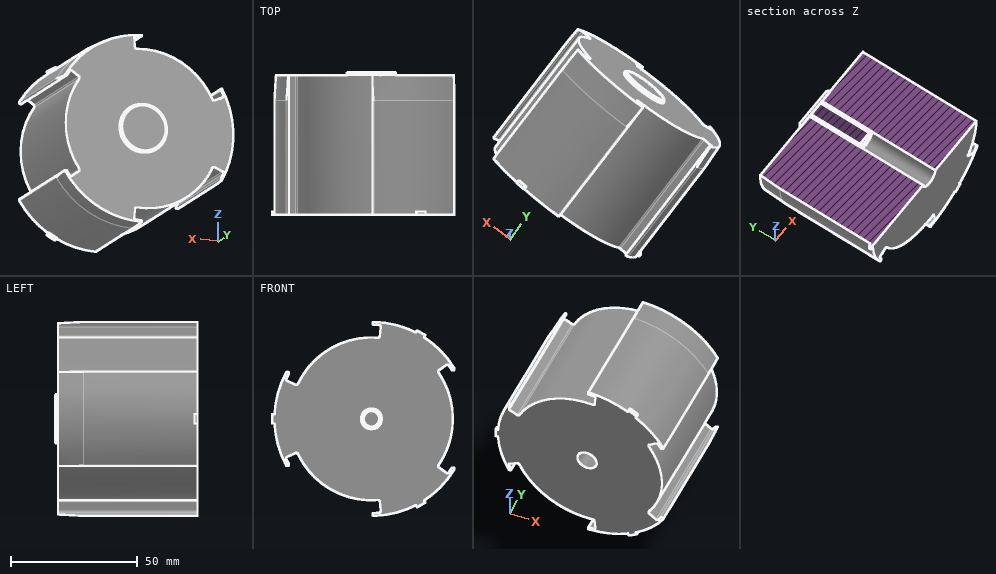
import cadquery as cq
import math

HOUSING_LENGTH = 55.0
CORE_RADIUS = 32.1
LOBE_COUNT = 3
LOBE_STEP = 360 / LOBE_COUNT
FIRST_LOBE_ANGLE = 180.0
LOBE_RADIUS = 38.25
LOBE_HALF_ANGLE = 24.3
LIP_THICKNESS = 1.2
LIP_LENGTH = 3.4
LOBE_FILLET = 0.6

TAPER_START = 45.0
TAPER_DROP = 0.5

KEY_WIDTH = 3.8
KEY_LENGTH = 1.3
KEY_RADIUS = 39.2

BORE_DIAMETER = 8.2
BORE_DEPTH = 30.6
BUSHING_MOUTH_DIAMETER = 7.35
SHAFT_DIAMETER = 6.1
MOUTH_CHAMFER = (BUSHING_MOUTH_DIAMETER - SHAFT_DIAMETER) / 2

HUB_DIAMETER = 19.5
HUB_END_DIAMETER = 18.1
HUB_HEIGHT = 1.2
HUB_CHAMFER_HEIGHT = 0.45


def front_plane(y=0.0):
    """Plane facing the front at the given y; extruding by a negative length goes to +Y."""
    return cq.Workplane("XZ").workplane(offset=-y)


def revolve_about_y(points):
    """Turn a closed outline of (radius, y) points about the Y axis."""
    return cq.Workplane("XY").polyline(points).close().revolve(360, (0, 0, 0), (0, 1, 0))


def cylinder(diameter, start, end):
    return front_plane(start).circle(diameter / 2).extrude(start - end)


def polar(radius, degrees):
    angle = math.radians(degrees)
    return (radius * math.cos(angle), radius * math.sin(angle))


def copies_on_lobes(body):
    """Copies of a body that points to +X, one turned to each lobe."""
    angles = [FIRST_LOBE_ANGLE + i * LOBE_STEP for i in range(LOBE_COUNT)]
    return [body.rotate((0, 0, 0), (0, 1, 0), -angle) for angle in angles]


def make_lobe():
    """One lobe pointing to +X: a sector whose rim overhangs both side walls."""
    inner = LOBE_RADIUS - LIP_THICKNESS
    middle = LOBE_RADIUS - LIP_THICKNESS / 2
    lip_end = LOBE_HALF_ANGLE + math.degrees((LIP_LENGTH - LIP_THICKNESS / 2) / middle)
    lip_tip = LOBE_HALF_ANGLE + math.degrees(LIP_LENGTH / middle)
    lip_middle = (LOBE_HALF_ANGLE + lip_end) / 2
    return (
        front_plane()
        .lineTo(*polar(inner, -LOBE_HALF_ANGLE))
        .threePointArc(polar(inner, -lip_middle), polar(inner, -lip_end))
        .threePointArc(polar(middle, -lip_tip), polar(LOBE_RADIUS, -lip_end))
        .threePointArc(polar(LOBE_RADIUS, 0), polar(LOBE_RADIUS, lip_end))
        .threePointArc(polar(middle, lip_tip), polar(inner, lip_end))
        .threePointArc(polar(inner, lip_middle), polar(inner, LOBE_HALF_ANGLE))
        .close()
        .extrude(-HOUSING_LENGTH)
    )


def fillet_lobe_roots(body):
    """Round the inside corners at both ends of every side wall."""
    points = [
        polar(radius, FIRST_LOBE_ANGLE + i * LOBE_STEP + side * LOBE_HALF_ANGLE)
        for i in range(LOBE_COUNT)
        for side in (-1, 1)
        for radius in (CORE_RADIUS, LOBE_RADIUS - LIP_THICKNESS)
    ]
    for x, z in points:
        corner = cq.selectors.NearestToPointSelector((x, HOUSING_LENGTH / 2, z))
        body = body.edges("|Y").edges(corner).fillet(LOBE_FILLET)
    return body


def taper_envelope():
    """Round blank that narrows toward the rear and trims the lobes."""
    return revolve_about_y([
        (0, 0),
        (LOBE_RADIUS, 0),
        (LOBE_RADIUS, TAPER_START),
        (LOBE_RADIUS - TAPER_DROP, HOUSING_LENGTH),
        (0, HOUSING_LENGTH),
    ])


def make_key():
    return front_plane().center(KEY_RADIUS / 2, 0).rect(KEY_RADIUS, KEY_WIDTH).extrude(-KEY_LENGTH)


def make_housing():
    body = cylinder(2 * CORE_RADIUS, 0, HOUSING_LENGTH)
    for lobe in copies_on_lobes(make_lobe()):
        body = body.union(lobe)
    body = fillet_lobe_roots(body).intersect(taper_envelope())
    for key in copies_on_lobes(make_key()):
        body = body.union(key)
    return body.cut(cylinder(BORE_DIAMETER, 0, HOUSING_LENGTH))


def make_bushing():
    """Sleeve in the bore, with a chamfered mouth."""
    return revolve_about_y([
        (BUSHING_MOUTH_DIAMETER / 2, BORE_DEPTH),
        (BORE_DIAMETER / 2, BORE_DEPTH),
        (BORE_DIAMETER / 2, HOUSING_LENGTH),
        (SHAFT_DIAMETER / 2, HOUSING_LENGTH),
        (SHAFT_DIAMETER / 2, BORE_DEPTH + MOUTH_CHAMFER),
    ])


def make_shaft():
    """Pin that fills the bushing behind its chamfer."""
    return cylinder(SHAFT_DIAMETER, BORE_DEPTH + MOUTH_CHAMFER, HOUSING_LENGTH)


def make_hub():
    """Chamfered disc on the rear face."""
    hub_end = HOUSING_LENGTH + HUB_HEIGHT
    return revolve_about_y([
        (0, HOUSING_LENGTH),
        (HUB_DIAMETER / 2, HOUSING_LENGTH),
        (HUB_DIAMETER / 2, hub_end - HUB_CHAMFER_HEIGHT),
        (HUB_END_DIAMETER / 2, hub_end),
        (0, hub_end),
    ])


housing = make_housing()
bushing = make_bushing()
shaft = make_shaft()
hub = make_hub()

result = cq.Compound.makeCompound([housing.val(), bushing.val(), shaft.val(), hub.val()])